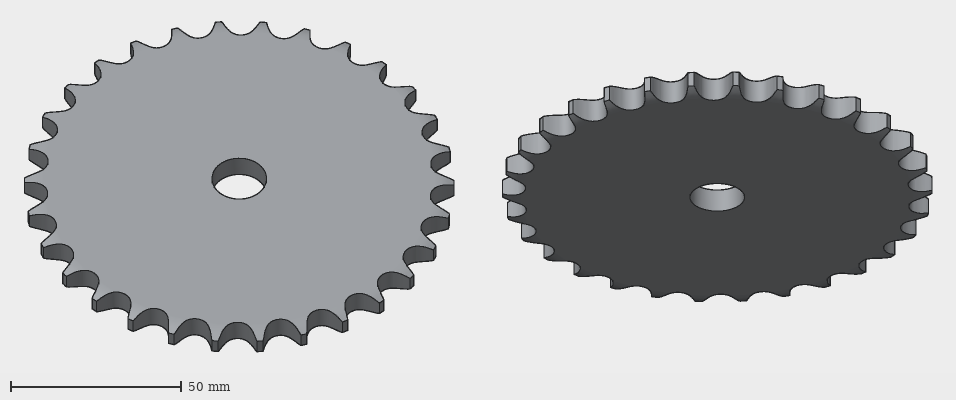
import cadquery as cq
import math

TOOTH_COUNT = 30
TIP_RADIUS = 63.0
PITCH_RADIUS = 60.8
THICKNESS = 7.2
BORE_DIAMETER = 16.0

BEVEL_START_RADIUS = 57.5
BEVEL_ARC_RADIUS = 12.7

SEAT_RADIUS = 4.3
SEAT_ANGLE = 55 - 60 / TOOTH_COUNT
WORKING_RADIUS = 11.1
WORKING_ANGLE = 18 - 56 / TOOTH_COUNT
FLANK_LENGTH = 1.16
TOPPING_RADIUS = 6.9
TOPPING_ANGLE = 14

TOOTH_ANGLE = 360 / TOOTH_COUNT
HALF_THICKNESS = THICKNESS / 2
CUT_CLEARANCE = 1.3


def bevelled_disc():
    """Solid of revolution about Z with both rims curving inwards towards the tooth tips."""
    def bevel_point(radius):
        run = radius - BEVEL_START_RADIUS
        drop = BEVEL_ARC_RADIUS - math.sqrt(BEVEL_ARC_RADIUS**2 - run**2)
        return radius, HALF_THICKNESS - drop

    mid_r, mid_z = bevel_point((BEVEL_START_RADIUS + TIP_RADIUS) / 2)
    tip_r, tip_z = bevel_point(TIP_RADIUS)
    return (
        cq.Workplane("XZ")
        .moveTo(0, -HALF_THICKNESS)
        .lineTo(BEVEL_START_RADIUS, -HALF_THICKNESS)
        .threePointArc((mid_r, -mid_z), (tip_r, -tip_z))
        .lineTo(tip_r, tip_z)
        .threePointArc((mid_r, mid_z), (BEVEL_START_RADIUS, HALF_THICKNESS))
        .lineTo(0, HALF_THICKNESS)
        .close()
        .revolve(360, (0, 0, 0), (0, 1, 0))
    )


def step(point, length, heading):
    """Point reached by moving a length along a heading in degrees."""
    angle = math.radians(heading)
    return point[0] + length * math.cos(angle), point[1] + length * math.sin(angle)


def arc_point(start, heading, radius, turn):
    """Point on an arc that leaves start along heading and turns by a signed angle in degrees."""
    chord = 2 * radius * math.sin(math.radians(abs(turn)) / 2)
    return step(start, chord, heading + turn / 2)


def tooth_gap():
    """Cutter for one gap, opening towards +X and symmetric about the X axis."""
    def mirrored(point):
        return point[0], -point[1]

    bottom = (PITCH_RADIUS - SEAT_RADIUS, 0)
    heading = 90
    seat_end = arc_point(bottom, heading, SEAT_RADIUS, -SEAT_ANGLE)

    heading -= SEAT_ANGLE
    working_mid = arc_point(seat_end, heading, WORKING_RADIUS, -WORKING_ANGLE / 2)
    working_end = arc_point(seat_end, heading, WORKING_RADIUS, -WORKING_ANGLE)

    heading -= WORKING_ANGLE
    flank_end = step(working_end, FLANK_LENGTH, heading)
    topping_mid = arc_point(flank_end, heading, TOPPING_RADIUS, TOPPING_ANGLE / 2)
    topping_end = arc_point(flank_end, heading, TOPPING_RADIUS, TOPPING_ANGLE)

    return (
        cq.Workplane("XY")
        .workplane(offset=-HALF_THICKNESS - CUT_CLEARANCE)
        .moveTo(*mirrored(topping_end))
        .threePointArc(mirrored(topping_mid), mirrored(flank_end))
        .lineTo(*mirrored(working_end))
        .threePointArc(mirrored(working_mid), mirrored(seat_end))
        .threePointArc(bottom, seat_end)
        .threePointArc(working_mid, working_end)
        .lineTo(*flank_end)
        .threePointArc(topping_mid, topping_end)
        .lineTo(TIP_RADIUS + CUT_CLEARANCE, 0)
        .close()
        .extrude(THICKNESS + 2 * CUT_CLEARANCE)
    )


result = bevelled_disc().faces(">Z").workplane().hole(BORE_DIAMETER)
gap = tooth_gap()
for index in range(TOOTH_COUNT):
    gap_angle = (index + 0.5) * TOOTH_ANGLE
    result = result.cut(gap.rotate((0, 0, 0), (0, 0, 1), gap_angle))